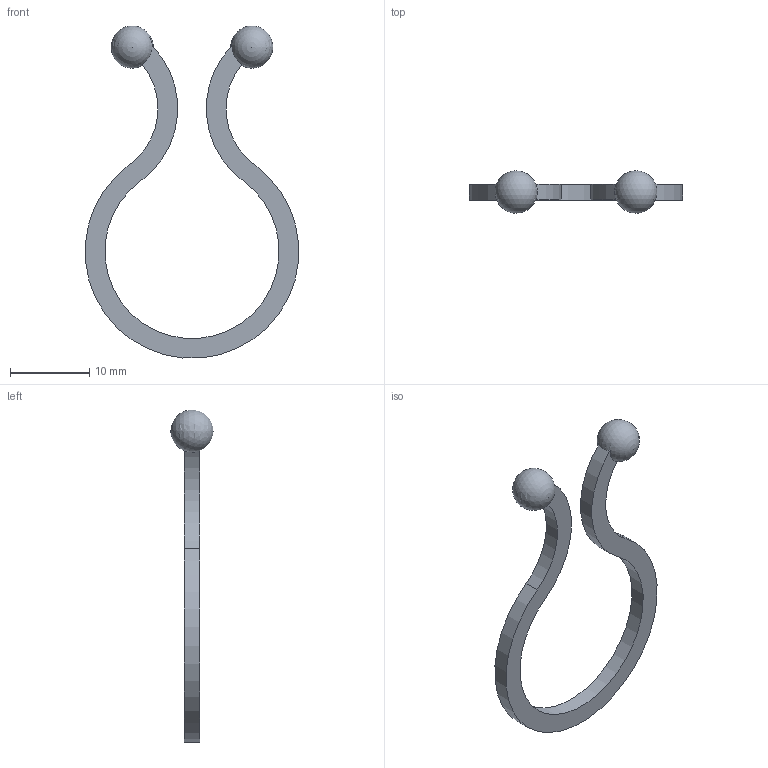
import cadquery as cq
import math

band_width = 2.5
band_thickness = 2.0
ring_inner_radius = 11.0
arm_inner_radius = 8.8
arm_center_z = 18.05
ball_diameter = 5.35
ball_x = 7.55
ball_z = 25.8

ring_radius = ring_inner_radius + band_width / 2
arm_radius = arm_inner_radius + band_width / 2
arm_center_x = math.sqrt((ring_radius + arm_radius) ** 2 - arm_center_z ** 2)
joint_angle = math.atan2(arm_center_z, arm_center_x)
arm_end_angle = math.atan2(ball_z - arm_center_z, ball_x - arm_center_x)


def polar(center_x, center_z, radius, angle):
    """Point at an angle on a circle in the XZ plane."""
    return (center_x + radius * math.cos(angle), center_z + radius * math.sin(angle))


def extrude_band(outline):
    """Extrude a closed outline symmetrically about the XZ plane."""
    return outline.close().extrude(band_thickness / 2, both=True)


def make_ring():
    """Ring band, open at the top between the two arm joints."""
    inner = ring_inner_radius
    outer = ring_inner_radius + band_width
    left_angle = math.pi - joint_angle
    bottom_angle = -math.pi / 2
    return extrude_band(
        cq.Workplane("XZ")
        .moveTo(*polar(0, 0, outer, joint_angle))
        .threePointArc(polar(0, 0, outer, bottom_angle), polar(0, 0, outer, left_angle))
        .lineTo(*polar(0, 0, inner, left_angle))
        .threePointArc(polar(0, 0, inner, bottom_angle), polar(0, 0, inner, joint_angle))
    )


def make_right_arm():
    """Arm band curving from the ring joint up to the ball, bulging toward the middle."""
    inner = arm_inner_radius
    outer = arm_inner_radius + band_width
    start_angle = joint_angle + math.pi
    middle_angle = (start_angle + arm_end_angle) / 2

    def arm_point(radius, angle):
        return polar(arm_center_x, arm_center_z, radius, angle)

    return extrude_band(
        cq.Workplane("XZ")
        .moveTo(*arm_point(inner, start_angle))
        .threePointArc(arm_point(inner, middle_angle), arm_point(inner, arm_end_angle))
        .lineTo(*arm_point(outer, arm_end_angle))
        .threePointArc(arm_point(outer, middle_angle), arm_point(outer, start_angle))
    )


def make_right_ball():
    """Ball on the free end of the arm."""
    return cq.Workplane("XZ").sphere(ball_diameter / 2).translate((ball_x, 0, ball_z))


right_side = make_right_arm().union(make_right_ball())
left_side = right_side.mirror("YZ")
result = make_ring().union(right_side).union(left_side)